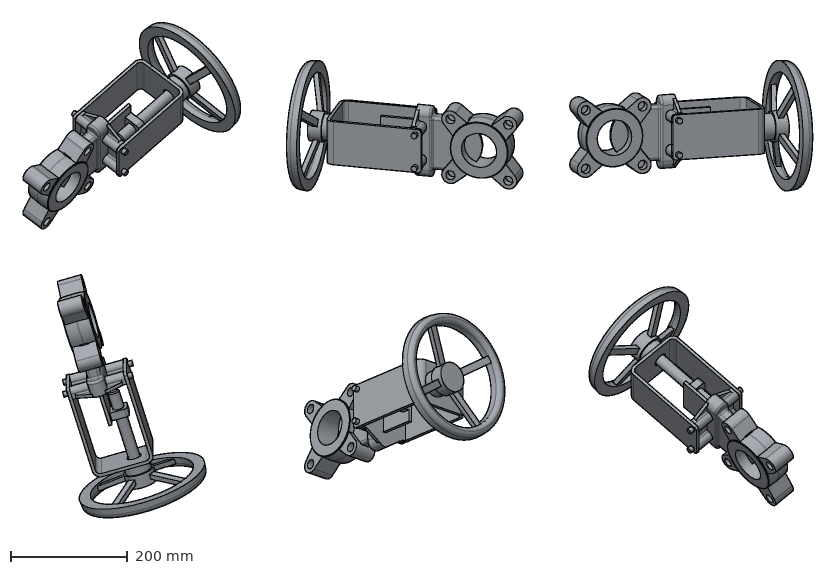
import cadquery as cq
import math


bore_radius = 31.0
disc_half_width = 23.0
disc_crown_radius = 52.5
disc_edge_radius = 51.3
disc_edge_chamfer = 1.0
lug_half_width = 21.0
lug_pitch = 102.5
lug_end_radius = 15.3
lug_taper = 6.5
lug_hole_radius = 8.02
lug_hole_depth = 15.5

neck_half_width = 11.7
neck_half_height = 48.0
neck_corner_radius = 5.0
box_half_width = 15.3
box_half_height = 64.0
box_bottom_y = 86.5
box_top_y = 114.5
box_bottom_round = 4.0
neck_cove_radius = 3.33

plate_thickness = 6.0
boss_fillet = 2.7
plate_slope_end_x = 11.7
plate_slope_end_z = 59.0
plate_corner_x = 42.0
boss_radius = 10.0
bolt_radius = 5.0
bolt_y = 105.0
bolt_z = 30.0
bolt_half_length = 62.0

yoke_half_width = 54.0
yoke_half_height = 39.5
yoke_thickness = 6.0
yoke_bottom_y = bolt_y - boss_radius
yoke_top_y = 264.0
yoke_bend_radius = 14.5
yoke_corner_radius = 5.0
yoke_hole_radius = 12.5

gate_thickness = 6.0
gate_half_height = 37.5
gate_tip_radius = 48.5
gate_tip_y = 0.0
gate_top_y = 179.5
nut_length = 14.5
nut_half_height = 17.0
nut_corner_radius = 5.0

stem_x = 18.5
stem_radius = 10.0
stem_bottom_y = 133.5
stem_chamfer = 2.5
sleeve_radius = 23.0
hub_radius = 26.5
hub_bottom_y = 284.0
hub_top_y = 308.0
wheel_radius = 112.3
wheel_shoulder_radius = 111.0
wheel_inner_radius = 92.5
wheel_inner_shoulder_radius = 93.5
wheel_bottom_y = 304.5
wheel_top_y = 324.8
wheel_top_round = 8.5
spoke_width = 13.3
spoke_depth = 9.0
spoke_hub_y = 290.7
spoke_rim_y = 308.0
spoke_angle = 56.4
spoke_count = 4


def along_y(y):
    """Sketch plane at height y whose extrusions run towards +Y; local (x, y) is (X, -Z)."""
    return cq.Workplane(cq.Plane(origin=(0, y, 0), xDir=(1, 0, 0), normal=(0, 1, 0)))


def along_x(x):
    """Sketch plane at x whose extrusions run towards +X; local (x, y) is (Y, Z)."""
    return cq.Workplane("YZ", origin=(x, 0, 0))


def make_disc():
    """Crowned disc around the bore, widest at mid-width."""
    side_radius = disc_edge_radius - disc_edge_chamfer
    chamfer_x = disc_half_width - disc_edge_chamfer
    crown_height = disc_crown_radius - disc_edge_radius
    crown_arc_radius = (chamfer_x**2 + crown_height**2) / (2 * crown_height)
    return (
        cq.Workplane("XY")
        .moveTo(-disc_half_width, 0)
        .lineTo(-disc_half_width, side_radius)
        .lineTo(-chamfer_x, disc_edge_radius)
        .radiusArc((0, disc_crown_radius), crown_arc_radius)
        .radiusArc((chamfer_x, disc_edge_radius), crown_arc_radius)
        .lineTo(disc_half_width, side_radius)
        .lineTo(disc_half_width, 0)
        .close()
        .revolve(360, (0, 0, 0), (1, 0, 0))
    )


def make_lug():
    """Lug on the +Y side, wider at its root, with its bolt hole centre on the bolt circle."""
    centre = lug_pitch / math.sqrt(2)
    taper = math.radians(lug_taper)
    tangent_y = centre + lug_end_radius * math.sin(taper)
    tangent_z = lug_end_radius * math.cos(taper)
    root_z = tangent_z + tangent_y * math.tan(taper)
    return (
        along_x(-lug_half_width)
        .moveTo(0, -root_z)
        .lineTo(tangent_y, -tangent_z)
        .threePointArc((centre + lug_end_radius, 0), (tangent_y, tangent_z))
        .lineTo(0, root_z)
        .close()
        .extrude(2 * lug_half_width)
    )


def edges_at_box_bottom(half_width, half_height):
    """Selects edges centred in the box-bottom plane, within a central rectangle."""
    margin = 0.05
    return cq.selectors.BoxSelector(
        (-half_width - margin, box_bottom_y - margin, -half_height - margin),
        (half_width + margin, box_bottom_y + margin, half_height + margin),
    )


def make_neck_and_box():
    """Neck plate that carries the round-ended packing box, blended by a cove and a round."""
    neck = (
        along_y(0)
        .rect(2 * neck_half_width, 2 * neck_half_height)
        .extrude(box_top_y)
        .edges("|Y")
        .fillet(neck_corner_radius)
    )
    box = (
        along_y(box_bottom_y)
        .slot2D(2 * box_half_height, 2 * box_half_width, 90)
        .extrude(box_top_y - box_bottom_y)
    )
    joint = edges_at_box_bottom(neck_half_width, neck_half_height)
    coved = neck.union(box).edges(joint).fillet(neck_cove_radius)
    cove_outline = edges_at_box_bottom(neck_half_width + neck_cove_radius, neck_half_height + neck_cove_radius)
    box_outline = edges_at_box_bottom(box_half_width, box_half_height) - cove_outline
    return coved.edges(box_outline).fillet(box_bottom_round)


def make_mounting_plate():
    """Plate across the top of the packing box, between the yoke legs."""
    inner_x = yoke_half_width - yoke_thickness
    flat_z = bolt_z + boss_radius
    corners = [
        (inner_x, flat_z),
        (plate_corner_x, flat_z),
        (plate_slope_end_x, plate_slope_end_z),
        (-plate_slope_end_x, plate_slope_end_z),
        (-plate_corner_x, flat_z),
        (-inner_x, flat_z),
    ]
    opposite = [(-x, -z) for x, z in corners]
    return along_y(box_top_y - plate_thickness).polyline(corners + opposite).close().extrude(plate_thickness)


def make_boss(z):
    """Round-bottomed boss along X that hangs from the mounting plate around one bolt."""
    inner_x = yoke_half_width - yoke_thickness
    return (
        along_x(-inner_x)
        .moveTo(box_top_y, z - boss_radius)
        .lineTo(bolt_y, z - boss_radius)
        .threePointArc((bolt_y - boss_radius, z), (bolt_y, z + boss_radius))
        .lineTo(box_top_y, z + boss_radius)
        .close()
        .extrude(2 * inner_x)
    )


def make_mounting():
    """Mounting plate and its two bosses, with fillets where the bosses leave the plate."""
    mounting = make_mounting_plate()
    for z in (-bolt_z, bolt_z):
        mounting = mounting.union(make_boss(z))
    joint_y = box_top_y - plate_thickness
    joint_z = bolt_z + boss_radius
    margin = 0.05
    joints = cq.selectors.BoxSelector(
        (-margin, joint_y - margin, -joint_z - margin),
        (margin, joint_y + margin, joint_z + margin),
    )
    return mounting.edges(joints).fillet(boss_fillet)


def make_bolt(z):
    """Bolt along X through both yoke legs and one boss."""
    return along_x(-bolt_half_length).center(bolt_y, z).circle(bolt_radius).extrude(2 * bolt_half_length)


def make_yoke():
    """U-shaped strap with a clearance hole for the stem."""
    length = yoke_top_y - yoke_bottom_y
    mid_y = (yoke_top_y + yoke_bottom_y) / 2
    outer = (
        cq.Workplane("XY")
        .box(2 * yoke_half_width, length, 2 * yoke_half_height)
        .edges("|Z and >Y")
        .fillet(yoke_bend_radius)
        .edges("|X and <Y")
        .fillet(yoke_corner_radius)
    )
    inner = (
        cq.Workplane("XY", origin=(0, -yoke_thickness, 0))
        .box(2 * (yoke_half_width - yoke_thickness), length, 2 * yoke_half_height)
        .edges("|Z and >Y")
        .fillet(yoke_bend_radius - yoke_thickness)
    )
    stem_hole = (
        along_y(yoke_top_y - yoke_thickness)
        .center(stem_x, 0)
        .circle(yoke_hole_radius)
        .extrude(yoke_thickness)
    )
    return outer.cut(inner).translate((0, mid_y, 0)).cut(stem_hole)


def make_gate_plate():
    """Flat gate with an arched lower edge."""
    shoulder_y = gate_tip_y + gate_tip_radius - math.sqrt(gate_tip_radius**2 - gate_half_height**2)
    return (
        along_x(-gate_thickness / 2)
        .moveTo(gate_top_y, -gate_half_height)
        .lineTo(shoulder_y, -gate_half_height)
        .threePointArc((gate_tip_y, 0), (shoulder_y, gate_half_height))
        .lineTo(gate_top_y, gate_half_height)
        .close()
        .extrude(gate_thickness)
    )


def make_housing():
    """Valve body and yoke in one solid, with the bore, the lug holes and the gate slot."""
    housing = make_disc()
    lug_angles = [45 + 90 * i for i in range(4)]
    for angle in lug_angles:
        housing = housing.union(make_lug().rotate((0, 0, 0), (1, 0, 0), angle))
    housing = housing.union(make_neck_and_box()).union(make_mounting()).union(make_yoke())
    for z in (-bolt_z, bolt_z):
        housing = housing.union(make_bolt(z))

    bore = along_x(-disc_half_width).circle(bore_radius).extrude(2 * disc_half_width)
    housing = housing.cut(bore).cut(make_gate_plate())
    for start_x in (-lug_half_width, lug_half_width - lug_hole_depth):
        holes = (
            along_x(start_x)
            .rect(lug_pitch, lug_pitch, forConstruction=True)
            .vertices()
            .circle(lug_hole_radius)
            .extrude(lug_hole_depth)
        )
        housing = housing.cut(holes)
    return housing


def make_gate():
    """Gate plate with the stem nut fixed to its side."""
    nut_left = gate_thickness / 2
    nut_right = 2 * stem_x - nut_left
    nut = (
        along_y(gate_top_y - nut_length)
        .center(stem_x, 0)
        .rect(nut_right - nut_left, 2 * nut_half_height)
        .extrude(nut_length)
        .edges("|Y and >X")
        .fillet(nut_corner_radius)
    )
    stem_hole = (
        along_y(gate_top_y - nut_length)
        .center(stem_x, 0)
        .circle(stem_radius)
        .extrude(nut_length)
    )
    return make_gate_plate().union(nut.cut(stem_hole))


def make_spoke():
    """Sloping spoke along +X from the wheel axis to the rim."""
    rise = (spoke_rim_y - spoke_hub_y) / (wheel_inner_radius - hub_radius)
    end_radius = wheel_inner_radius + 2.0
    end_y = spoke_hub_y + rise * (end_radius - hub_radius)
    axis_y = spoke_hub_y - rise * hub_radius
    return (
        cq.Workplane("XY", origin=(0, 0, -spoke_width / 2))
        .polyline([
            (0, axis_y),
            (end_radius, end_y),
            (end_radius, end_y + spoke_depth),
            (0, axis_y + spoke_depth),
        ])
        .close()
        .extrude(spoke_width)
    )


def make_handwheel():
    """Rim, spokes, hub, sleeve and stem, built around the Y axis and moved to the stem axis."""
    rim = (
        cq.Workplane("XY")
        .moveTo(wheel_inner_radius, wheel_bottom_y)
        .lineTo(wheel_radius, wheel_bottom_y)
        .lineTo(wheel_shoulder_radius, wheel_top_y - wheel_top_round)
        .radiusArc((wheel_shoulder_radius - wheel_top_round, wheel_top_y), -wheel_top_round)
        .lineTo(wheel_inner_shoulder_radius + wheel_top_round, wheel_top_y)
        .radiusArc((wheel_inner_shoulder_radius, wheel_top_y - wheel_top_round), -wheel_top_round)
        .close()
        .revolve(360, (0, 0, 0), (0, 1, 0))
    )
    stem = (
        along_y(stem_bottom_y)
        .circle(stem_radius)
        .extrude(hub_bottom_y - stem_bottom_y)
        .faces("<Y")
        .chamfer(stem_chamfer)
    )
    sleeve = along_y(yoke_top_y).circle(sleeve_radius).extrude(hub_bottom_y - yoke_top_y)
    hub = along_y(hub_bottom_y).circle(hub_radius).extrude(hub_top_y - hub_bottom_y)
    wheel = rim.union(hub).union(sleeve).union(stem)
    for i in range(spoke_count):
        angle = -spoke_angle + i * 360 / spoke_count
        wheel = wheel.union(make_spoke().rotate((0, 0, 0), (0, 1, 0), angle))
    return wheel.translate((stem_x, 0, 0))


housing = make_housing()
gate = make_gate()
handwheel = make_handwheel()

result = cq.Compound.makeCompound([housing.val(), gate.val(), handwheel.val()])